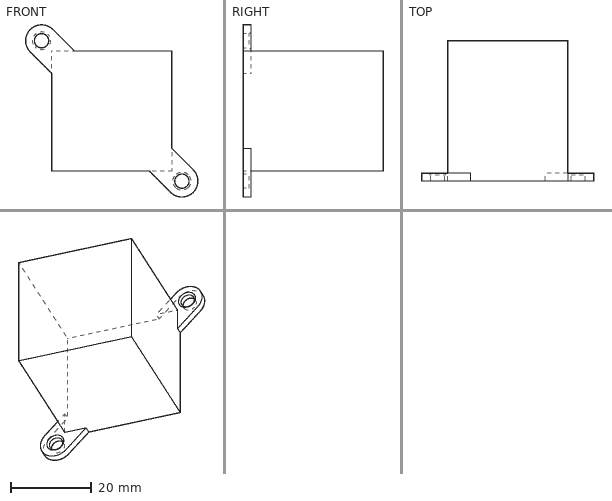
import cadquery as cq
import math

body_width = 30.0
body_depth = 35.0

ear_thickness = 2.0
ear_radius = 4.0
hole_diameter = 3.5
hole_offset = 17.5
hole_chamfer = 0.5

ear_reach = hole_offset * math.sqrt(2)
ear_angle = 45.0


def make_body():
    """Block centred on the Y axis, running back from Y = 0."""
    block = cq.Workplane("XY").box(body_width, body_depth, body_width)
    return block.translate((0, body_depth / 2, 0))


def make_ear_strip():
    """Round-ended strip along the diagonal whose two ends form the ears."""
    strip = (
        cq.Workplane("XZ")
        .slot2D(2 * (ear_reach + ear_radius), 2 * ear_radius)
        .extrude(-ear_thickness)
    )
    return strip.rotate((0, 0, 0), (0, 1, 0), ear_angle)


def make_hole_cutter():
    """Screw hole through an ear, widening at the rear; a profile revolved about Y."""
    hole_radius = hole_diameter / 2
    rim_radius = hole_radius + hole_chamfer
    return (
        cq.Workplane("XY")
        .lineTo(hole_radius, 0)
        .lineTo(hole_radius, ear_thickness - hole_chamfer)
        .lineTo(rim_radius, ear_thickness)
        .lineTo(0, ear_thickness)
        .close()
        .revolve(360, (0, 0, 0), (0, 1, 0))
    )


result = make_body().union(make_ear_strip())
for side in (-1, 1):
    result = result.cut(make_hole_cutter().translate((side * hole_offset, 0, -side * hole_offset)))